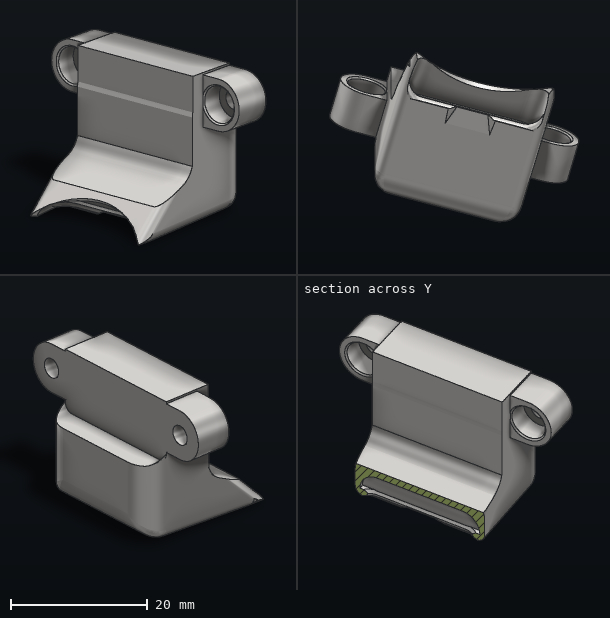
import cadquery as cq
import math


height = 23.53
half_width = 11.08
rear_radius = 4.0
edge_radius = 1.5
rear_bottom_z = 0.87
bottom_slope = math.radians(2.9)
front_face_offset = 20.27
stock_front_y = -21.72

upper_front_y = -8.25
lower_front_y = -8.35
step_top_z = 17.95
step_bottom_z = 17.2
blend_top_z = 9.7
blend_bottom = (-10.45, 7.28)
blend_radius = 4.0
crease_y = -15.35

hump_top_z = 13.4

lug_radius = 4.02
lug_x = 18.1 - lug_radius
lug_z = 19.2
lug_length = 6.0
bolt_diameter = 3.1
counterbore_diameter = 5.7
counterbore_depth = 3.5
counterbore_chamfer = 0.25

arch_radius = 13.2
arch_cut_reach = 4.35
arch_crest_y = -16.25

roof_height = 1.35
pocket_half_width = 10.2
pocket_corner_radius = 2.9
bulge_radius = 2.9
bulge_center = (-9.6, 1.85)
tip_radius = 0.55

lip_front_y = -12.85
lip_thickness = 1.35
lip_radius = 0.85
lip_top_chamfer = 0.45
lip_corner_radius = 2.7

notch_top_half_width = 2.35
notch_bottom_half_width = 4.0
notch_top_z = 0.95
notch_depth = 4.35


def bottom_z(y):
    """Height of the sloping underside."""
    return rear_bottom_z + y * math.tan(bottom_slope)


def extrude_sideways(profile, half_length):
    return profile.extrude(half_length, both=True)


def plan_block():
    """Upright stock with the two rounded rear corners."""
    length = rear_radius - stock_front_y
    block = cq.Workplane("XY").box(2 * half_width, length, height, centered=(True, False, False))
    return block.translate((0, stock_front_y, 0)).edges("|Z and >Y").fillet(rear_radius)


def lower_block():
    """Stock with a rounded rear lower corner and rounded lower side edges."""
    profile = (
        cq.Workplane("YZ")
        .moveTo(stock_front_y, height)
        .lineTo(rear_radius, height)
        .lineTo(rear_radius, rear_bottom_z + rear_radius)
        .radiusArc((0, rear_bottom_z), rear_radius)
        .lineTo(stock_front_y, bottom_z(stock_front_y))
        .close()
    )
    block = extrude_sideways(profile, half_width).intersect(plan_block())
    side_edges = cq.selectors.BoxSelector(
        (-2 * half_width, stock_front_y / 2, -height), (2 * half_width, rear_radius, rear_radius)
    )
    return block.edges(side_edges).fillet(edge_radius)


def front_block():
    """Stock behind the 45 degree front face with rounded side edges, joined to the upright wall."""
    face_bottom_y = -front_face_offset - edge_radius
    profile = (
        cq.Workplane("YZ")
        .moveTo(face_bottom_y, face_bottom_y + front_face_offset)
        .lineTo(height - front_face_offset, height)
        .lineTo(rear_radius, height)
        .lineTo(rear_radius, face_bottom_y + front_face_offset)
        .close()
    )
    block = extrude_sideways(profile, half_width)
    side_edges = cq.selectors.ParallelDirSelector(cq.Vector(0, 1, 1))
    wall_depth = rear_radius - lower_front_y
    wall = cq.Workplane("XY").box(2 * half_width, wall_depth, height, centered=(True, False, False))
    return block.edges(side_edges).fillet(edge_radius).union(wall.translate((0, lower_front_y, 0)))


def outline_block():
    """Side outline of the upright wall, the sloping shoulder and the rounded front tip."""
    slope = math.tan(bottom_slope)
    tip_y = (rear_bottom_z - front_face_offset) / (1 - slope)
    profile = (
        cq.Workplane("YZ")
        .moveTo(rear_radius, height)
        .lineTo(upper_front_y, height)
        .lineTo(upper_front_y, step_top_z)
        .lineTo(lower_front_y, step_bottom_z)
        .lineTo(lower_front_y, blend_top_z)
        .radiusArc(blend_bottom, blend_radius)
        .lineTo(crease_y, crease_y + front_face_offset)
        .lineTo(tip_y, bottom_z(tip_y))
        .lineTo(0, rear_bottom_z)
        .lineTo(rear_radius, rear_bottom_z)
        .close()
    )
    return extrude_sideways(profile, half_width).edges("<Y").fillet(tip_radius)


def hump_clearance():
    """Space above the rear hump, rounded where its floor turns up at the sides."""
    space = cq.Workplane("XY").box(
        2 * half_width, rear_radius, height - hump_top_z, centered=(True, False, False)
    )
    return space.translate((0, 0, hump_top_z)).edges("|Y and <Z").fillet(edge_radius)


def arch_cutter():
    """Cylinder square to the front face whose side forms the arch."""
    crest = cq.Vector(0, arch_crest_y, arch_crest_y + front_face_offset)
    down_face = cq.Vector(0, -1, -1).normalized()
    axis = cq.Vector(0, -1, 1).normalized()
    center = crest + down_face * arch_radius
    plane = cq.Plane(origin=center, xDir=(1, 0, 0), normal=axis)
    return cq.Workplane(plane).circle(arch_radius).extrude(arch_cut_reach, both=True)


def ceiling_z(y):
    """Height of the pocket ceiling, which runs parallel to the shoulder."""
    crease_z = crease_y + front_face_offset
    shoulder_slope = (blend_bottom[1] - crease_z) / (blend_bottom[0] - crease_y)
    return crease_z - roof_height + shoulder_slope * (y - crease_y)


def pocket_cutter():
    """Pocket under the shoulder, open below, with a rounded rear wall and a rounded ceiling."""
    center_y, center_z = bulge_center
    diagonal = bulge_radius / math.sqrt(2)
    bulge_top = (center_y - diagonal, center_z + diagonal)
    ceiling = (
        cq.Workplane("YZ")
        .moveTo(stock_front_y, -height)
        .lineTo(stock_front_y, ceiling_z(stock_front_y))
        .lineTo(0, ceiling_z(0))
        .lineTo(0, -height)
        .close()
    )
    room = extrude_sideways(ceiling, pocket_half_width)
    room = room.faces(">Z").edges("<X or >X").fillet(pocket_corner_radius)
    rear_wall = (
        cq.Workplane("YZ")
        .moveTo(stock_front_y, -edge_radius)
        .lineTo(stock_front_y, height)
        .lineTo(bulge_top[0], height)
        .lineTo(*bulge_top)
        .radiusArc((center_y - bulge_radius, center_z), -bulge_radius)
        .lineTo(center_y - bulge_radius, -edge_radius)
        .close()
    )
    return room.intersect(extrude_sideways(rear_wall, pocket_half_width))


def lip():
    """Rounded lip along the rear edge of the pocket mouth, curving forward at its ends."""
    slab_depth = 3 * lip_corner_radius
    slab = (
        cq.Workplane("XY", origin=(0, lip_front_y, bottom_z(lip_front_y)))
        .transformed(rotate=(math.degrees(bottom_slope), 0, 0))
        .rect(4 * half_width, slab_depth)
        .extrude(lip_thickness)
    )
    opening = cq.Workplane("XY").box(
        2 * pocket_half_width, slab_depth, height, centered=(True, False, True)
    )
    opening = opening.translate((0, lip_front_y - slab_depth, 0))
    slab = slab.cut(opening.edges("|Z and >Y").fillet(lip_corner_radius))
    front_edges = cq.selectors.BoxSelector(
        (-0.35, lip_front_y - 0.35, -0.35), (0.35, lip_front_y + 0.35, height)
    )
    lower_edge = slab.edges(front_edges).edges("<Z")
    slab = lower_edge.fillet(lip_radius)
    upper_edge = slab.edges(front_edges).edges(">Z")
    return upper_edge.chamfer(lip_top_chamfer)


def notch_cutter():
    """Wedge under the lip, wider at the bottom."""
    front_y = lip_front_y - notch_depth
    front = (
        cq.Workplane("XZ", origin=(0, front_y, 0))
        .moveTo(-notch_bottom_half_width, 0)
        .lineTo(-notch_top_half_width, notch_top_z)
        .lineTo(notch_top_half_width, notch_top_z)
        .lineTo(notch_bottom_half_width, 0)
        .close()
        .extrude(-2 * notch_depth)
    )
    side = (
        cq.Workplane("YZ")
        .moveTo(front_y, 0)
        .lineTo(front_y, notch_top_z)
        .lineTo(lip_front_y, notch_top_z)
        .lineTo(lip_front_y + notch_depth, 0)
        .close()
    )
    return front.intersect(extrude_sideways(side, half_width))


def lug(side):
    """Round-ended lug with a counterbored bolt hole, open to the front."""
    outline = (
        cq.Workplane("XZ", origin=(side * lug_x, 0, lug_z))
        .circle(lug_radius)
        .extrude(lug_length)
    )
    neck = cq.Workplane("XY").box(lug_x, lug_length, 2 * lug_radius)
    neck = neck.translate((side * lug_x / 2, -lug_length / 2, lug_z))
    bolt_hole = cq.Workplane("XZ", origin=(side * lug_x, 0, lug_z)).circle(bolt_diameter / 2)
    counterbore = (
        cq.Workplane("XZ", origin=(side * lug_x, counterbore_depth - lug_length, lug_z))
        .circle(counterbore_diameter / 2)
        .extrude(counterbore_depth)
    )
    mouth = (
        cq.Workplane("XZ", origin=(side * lug_x, -lug_length, lug_z))
        .circle(counterbore_diameter / 2 + counterbore_chamfer)
        .extrude(-counterbore_chamfer, taper=45)
    )
    return outline.union(neck).cut(bolt_hole.extrude(lug_length)).cut(counterbore).cut(mouth)


envelope = lower_block().intersect(front_block()).intersect(outline_block())
body = envelope.cut(hump_clearance()).cut(pocket_cutter())
body = body.union(lip().intersect(envelope)).cut(notch_cutter()).cut(arch_cutter())
result = body.union(lug(-1)).union(lug(1))